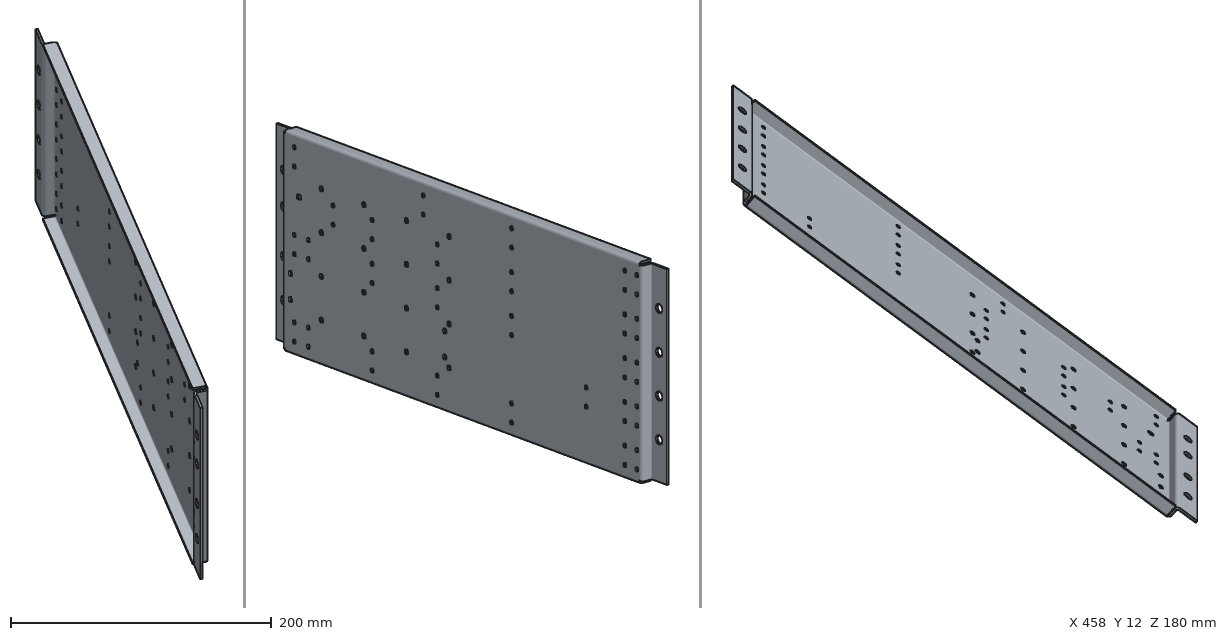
import cadquery as cq

WIDTH = 458.0
DEPTH = 12.0
HEIGHT = 180.0

SHEET = 2.0
BEND = 3.0
INNER_BEND = BEND - SHEET
WALL_SPAN = 422.0
WALL_HEIGHT = 175.0

FRONT = -DEPTH / 2
BACK = DEPTH / 2
WALL_OUTER = WALL_SPAN / 2
WALL_INNER = WALL_OUTER - SHEET
PLATE_EDGE = WALL_OUTER - BEND

PATTERN_SPAN = 142.0
PITCH = PATTERN_SPAN / 4
PAIR_GAP = 15.5
SMALL_HOLE = 3.45
GRID_HOLE = 4.0
EAR_HOLE = 7.5

PAIR_COLUMNS = {
    -205.0: (-2, -1, 0, 1, 2),
    -191.0: (-2, -1, 0, 1, 2),
    -145.5: (-1,),
    -58.0: (-2, 0, 1, 2),
    29.0: (-2, 0, 1),
    45.5: (2,),
    105.5: (-2, 0, 1),
    151.0: (1,),
    180.0: (-2, 0),
    196.5: (-2, 0, 2),
}

GRID_LEVELS = [step * PITCH for step in (-1.5, -0.5, 0.5, 1.5)]
GRID_START = 15.0
GRID_STEP = 50.0
GRID_COLUMNS = 4

LOWER_HOLE_COLUMNS = (20.0, 201.0)
LOWER_HOLE_LEVELS = (-24.7, -46.0)

SLOT_X = 191.0
SLOT_Z = 40.0
SLOT_LENGTH = 5.5
SLOT_WIDTH = 4.0

EAR_HOLE_X = 220.0
RIGHT_EAR_LEVELS = (52.0, 22.5, -18.0, -53.5)


def make_channel():
    """Back plate with a flange folded forward along its top and bottom edges."""
    block = cq.Workplane("XY").box(2 * PLATE_EDGE, DEPTH, HEIGHT)
    block = block.edges("|X and >Y").fillet(BEND)
    hollow = (
        cq.Workplane("XY")
        .box(2 * PLATE_EDGE, DEPTH, HEIGHT - 2 * SHEET)
        .edges("|X and >Y")
        .fillet(INNER_BEND)
        .translate((0, -SHEET, 0))
    )
    return block.cut(hollow)


def make_right_side():
    """Side wall folded forward from the plate, then outward into an ear."""
    ear_back = FRONT + SHEET
    plate_front = BACK - SHEET
    return (
        cq.Workplane("XY")
        .moveTo(PLATE_EDGE, BACK)
        .radiusArc((WALL_OUTER, BACK - BEND), BEND)
        .lineTo(WALL_OUTER, ear_back + INNER_BEND)
        .radiusArc((WALL_OUTER + INNER_BEND, ear_back), -INNER_BEND)
        .lineTo(WIDTH / 2, ear_back)
        .lineTo(WIDTH / 2, FRONT)
        .lineTo(WALL_INNER + BEND, FRONT)
        .radiusArc((WALL_INNER, FRONT + BEND), BEND)
        .lineTo(WALL_INNER, plate_front - INNER_BEND)
        .radiusArc((PLATE_EDGE, plate_front), -INNER_BEND)
        .close()
        .extrude(WALL_HEIGHT / 2, both=True)
    )


def drill(body, points, diameter):
    """Cut holes along Y through the whole depth at the given (x, z) points."""
    cutter = (
        cq.Workplane("XZ")
        .pushPoints(points)
        .circle(diameter / 2)
        .extrude(DEPTH, both=True)
    )
    return body.cut(cutter)


pair_points = [
    (x, level * PITCH + offset)
    for x, levels in PAIR_COLUMNS.items()
    for level in levels
    for offset in (-PAIR_GAP / 2, PAIR_GAP / 2)
]
grid_points = [
    (GRID_START + column * GRID_STEP, z)
    for column in range(GRID_COLUMNS)
    for z in GRID_LEVELS
]
lower_points = [(x, z) for x in LOWER_HOLE_COLUMNS for z in LOWER_HOLE_LEVELS]
ear_points = [(-EAR_HOLE_X, z) for z in GRID_LEVELS]
ear_points += [(EAR_HOLE_X, z) for z in RIGHT_EAR_LEVELS]

slot = (
    cq.Workplane("XZ")
    .center(SLOT_X, SLOT_Z)
    .slot2D(SLOT_LENGTH, SLOT_WIDTH)
    .extrude(DEPTH, both=True)
)

right_side = make_right_side()
left_side = right_side.mirror("YZ")

panel = make_channel().union(right_side).union(left_side)
panel = drill(panel, pair_points, SMALL_HOLE)
panel = drill(panel, grid_points + lower_points, GRID_HOLE)
panel = drill(panel, ear_points, EAR_HOLE)
result = panel.cut(slot)